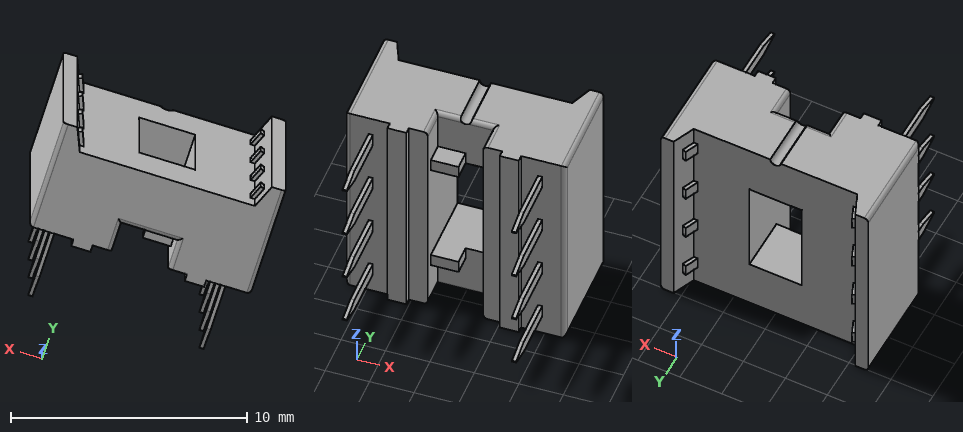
import cadquery as cq
import math

width = 9.9
height = 10.1
seat_depth = 4.8
wall_rise = 1.02
wall_top = 0.62
wall_foot = 1.05
edge_radius = 0.2
floor_y = seat_depth - wall_rise

channel_width = 2.49
channel_depth = 1.28
window_height = 4.99

step_width = channel_width / 2
step_height = 0.6
step_y = 0.39

groove_radius = 0.25

rib_width = 0.86
rib_rise = 0.3
rib_x = 2.52

pin_count = 4
pin_pitch = 2.54
row_x = 3.81
pin_thickness = 0.19
pin_width = 0.6
pin_offset_z = 0.03
overall_depth = 8.1
pin_reach = overall_depth - seat_depth
taper_length = 1.0
tip_width = 0.06
clip_length = 0.6


def block(x_range, y_range, z_range):
    """Box spanning the given (low, high) ranges."""
    size = [high - low for low, high in (x_range, y_range, z_range)]
    corner = (x_range[0], y_range[0], z_range[0])
    return cq.Workplane("XY").box(*size, centered=False).translate(corner)


def extrude_along_z(points, length):
    """Prism with an XY outline, centred on z = 0."""
    return cq.Workplane("XY").polyline(points).close().extrude(length / 2, both=True)


def make_housing():
    half = width / 2
    outline = [
        (-half, 0),
        (half, 0),
        (half, seat_depth),
        (half - wall_top, seat_depth),
        (half - wall_foot, floor_y),
        (wall_foot - half, floor_y),
        (wall_top - half, seat_depth),
        (-half, seat_depth),
    ]
    body = extrude_along_z(outline, height)
    body = body.faces("<X or >X").edges("not >Y").fillet(edge_radius)

    half_channel = channel_width / 2
    channel_x = (-half_channel, half_channel)
    body = body.cut(block(channel_x, (0, channel_depth), (-height / 2, height / 2)))
    margin = edge_radius / 2
    mouth = cq.selectors.BoxSelector(
        (-half_channel - margin, -margin, -height),
        (half_channel + margin, channel_depth + margin, height),
    )
    body = body.faces("<Z or >Z").edges(mouth).fillet(edge_radius)

    half_window = window_height / 2
    return body.cut(block(channel_x, (0, floor_y), (-half_window, half_window)))


def make_steps():
    top_step = block(
        (-channel_width / 2, step_width - channel_width / 2),
        (step_y, channel_depth),
        (window_height / 2, window_height / 2 + step_height),
    )
    return top_step.union(top_step.mirror("XY"))


def make_groove():
    return (
        cq.Workplane("XZ")
        .center(0, height / 2)
        .circle(groove_radius)
        .extrude(-floor_y)
    )


def make_rib(side):
    half = rib_width / 2
    center = side * rib_x
    return block((center - half, center + half), (-rib_rise, 0), (-height / 2, height / 2))


def make_pin():
    """Straight pointed pin of the right-hand row, centred on z = 0."""
    half = pin_width / 2
    shoulder = taper_length - pin_reach
    outline = [
        (0, -half),
        (0, half),
        (shoulder, half),
        (-pin_reach, tip_width / 2),
        (-pin_reach, -tip_width / 2),
        (shoulder, -half),
    ]
    blade = cq.Workplane("YZ").polyline(outline).close().extrude(pin_thickness / 2, both=True)
    return blade.translate((row_x, 0, 0))


def make_clip():
    """Bent end of a right-hand contact, resting on the sloped wall."""
    lean = math.atan2(wall_foot - wall_top, wall_rise)
    foot = width / 2 - wall_foot
    across = pin_thickness * math.cos(lean)
    end_x = foot + clip_length * math.sin(lean)
    end_y = floor_y + clip_length * math.cos(lean)
    outline = [
        (foot, floor_y),
        (end_x, end_y),
        (end_x - across * math.cos(lean), end_y + across * math.sin(lean)),
        (foot - pin_thickness, floor_y),
    ]
    return extrude_along_z(outline, pin_width)


result = make_housing().union(make_steps()).cut(make_groove())
for side in (-1, 1):
    result = result.union(make_rib(side))

pin = make_pin()
clip = make_clip()
for index in range(pin_count):
    z = (index - (pin_count - 1) / 2) * pin_pitch + pin_offset_z
    for shape in (pin, clip):
        right_shape = shape.translate((0, 0, z))
        result = result.union(right_shape).union(right_shape.mirror("YZ"))